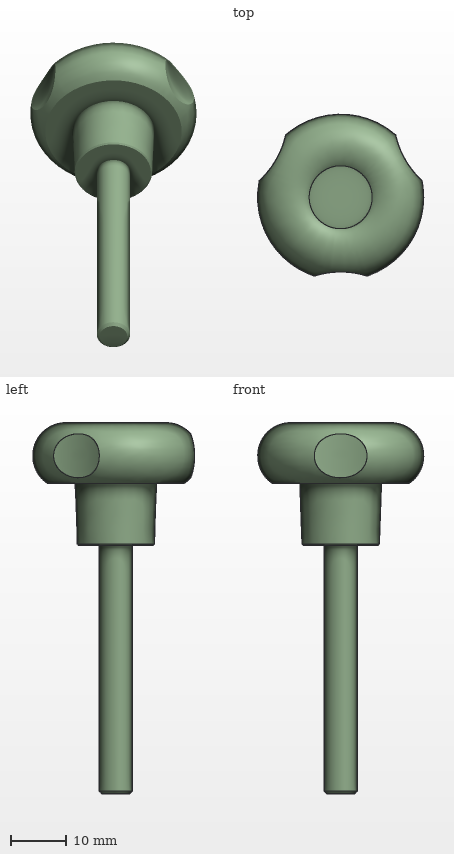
import cadquery as cq
import math

overall_length = 67.0
hub_height = 11.15
head_height = 11.0
head_bottom = hub_height
head_top = head_bottom + head_height
rod_length = overall_length - head_top

rod_radius = 3.0
tip_chamfer = 0.5

hub_bottom_radius = 7.0
hub_draft = 2.0
hub_edge_chamfer = 0.25
hub_taper_height = hub_height - hub_edge_chamfer
hub_top_radius = hub_bottom_radius + hub_taper_height * math.tan(math.radians(hub_draft))

head_radius = 15.0
rim_radius = 6.0
rim_centre_radius = head_radius - rim_radius
rim_centre_height = head_top - rim_radius
dish_depth = 1.0
dish_floor = head_top - dish_depth

hollow_count = 3
hollow_first_angle = -90.0
hollow_radius = 16.0
hollow_floor_radius = 13.5
hollow_centre_radius = hollow_floor_radius + hollow_radius


def rim_half_width(height):
    """Horizontal distance from the rim centre to its round surface at a height."""
    return math.sqrt(rim_radius**2 - (height - rim_centre_height) ** 2)


def make_head():
    """Revolve the rounded rim and the dish floor about Z."""
    dish_radius = rim_centre_radius - rim_half_width(dish_floor)
    underside_radius = rim_centre_radius + rim_half_width(head_bottom)
    return (
        cq.Workplane("XZ")
        .moveTo(0, head_bottom)
        .lineTo(underside_radius, head_bottom)
        .threePointArc((rim_centre_radius, head_top), (dish_radius, dish_floor))
        .lineTo(0, dish_floor)
        .close()
        .revolve(360, (0, 0, 0), (0, 1, 0))
    )


def make_hollows():
    """Upright cylinders evenly spaced around the head."""
    return (
        cq.Workplane("XY")
        .workplane(offset=head_bottom)
        .polarArray(hollow_centre_radius, hollow_first_angle, 360, hollow_count)
        .circle(hollow_radius)
        .extrude(head_height)
    )


def make_stem():
    """Revolve the tapered hub and the chamfered rod about Z."""
    tip_radius = rod_radius - tip_chamfer
    profile = [
        (0, -rod_length),
        (tip_radius, -rod_length),
        (rod_radius, tip_chamfer - rod_length),
        (rod_radius, 0),
        (hub_bottom_radius - hub_edge_chamfer, 0),
        (hub_bottom_radius, hub_edge_chamfer),
        (hub_top_radius, head_bottom),
        (0, head_bottom),
    ]
    return cq.Workplane("XZ").polyline(profile).close().revolve(360, (0, 0, 0), (0, 1, 0))


result = make_head().cut(make_hollows()).union(make_stem())